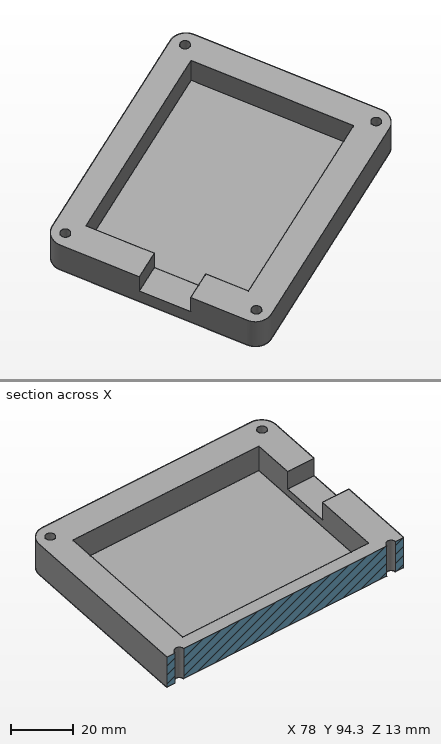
import cadquery as cq

width = 78.0
length = 94.3
height = 13.0
corner_radius = 5.7

pocket_left = 9.5
pocket_front = 10.6
pocket_width = 57.8
pocket_length = 74.05
pocket_depth = 10.4

notch_left = 33.9
notch_width = 18.3
notch_depth = 7.45

hole_diameter = 3.4
hole_inset = 5.0


def top_cut(left, front, size_x, size_y, depth):
    """Box that removes material from the top face down to the given depth."""
    box = cq.Workplane("XY").box(size_x, size_y, depth, centered=False)
    return box.translate((left, front, height - depth))


body = cq.Workplane("XY").box(width, length, height, centered=False)
body = body.edges("|Z").fillet(corner_radius)

body = body.cut(top_cut(pocket_left, pocket_front, pocket_width, pocket_length, pocket_depth))
body = body.cut(top_cut(notch_left, 0, notch_width, pocket_front, notch_depth))

hole_centers = [
    (x, y)
    for x in (hole_inset, width - hole_inset)
    for y in (hole_inset, length - hole_inset)
]
holes = cq.Workplane("XY").pushPoints(hole_centers).circle(hole_diameter / 2).extrude(height)

result = body.cut(holes)